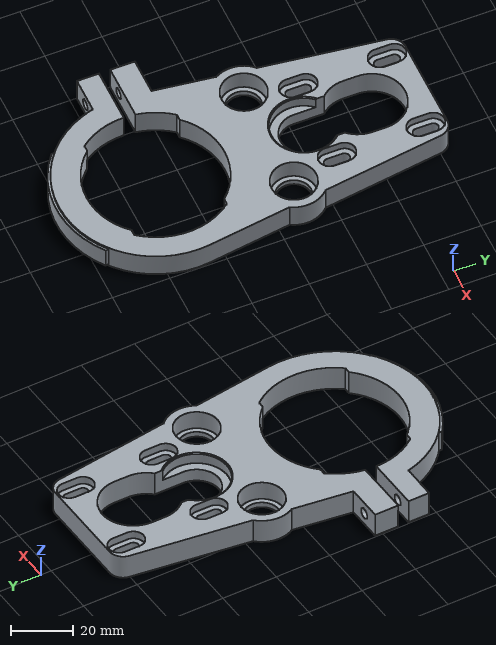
import cadquery as cq
import math

length = 129.1
thickness = 9.0
ring_radius = 33.7
top_edge_y = 94.5
top_half_width = 21.0
top_corner_radius = 5.0

bore_radius = 24.0
wide_bore_radius = 25.7
wide_bore_half_height = 16.1

tab_end_x = -45.6
tab_top_y = 12.7
tab_bottom_y = -7.6
slit_bottom_y = 0.1
slit_width = 3.9
tab_screw_diameter = 3.7
tab_screw_from_end = 6.7

ear_x = 20.0
ear_y = 39.5
ear_radius = 10.8
ear_hole_diameter = 12.0
ear_counterbore_diameter = 15.5
ear_counterbore_depth = 7.0

screw_pitch = 31.0
screw_pattern_y = 72.0
screw_slot_width = 3.6
screw_slot_length = 8.9
screw_recess_width = 7.6
screw_recess_length = 12.9
screw_recess_depth = 3.0

wide_slot_width = 23.0
wide_slot_top_y = 87.0
wide_slot_length = 28.0
narrow_slot_width = 16.4
narrow_slot_end_y = 51.8
keyhole_recess_radius = 11.2
keyhole_recess_chamfer = 0.4
keyhole_recess_depth = 4.3

label_radius = length - top_edge_y
label_half_width = 21.7
label_margin = 0.6


def upright_slot(width, slot_length, x, y, bottom, height):
    """Solid slot shape lying along Y and standing on z = bottom."""
    slot = cq.Workplane("XY", origin=(x, y, bottom)).slot2D(slot_length, width, 90)
    return slot.extrude(height)


def cylinder(radius, x, y, bottom, height):
    return cq.Workplane("XY", origin=(x, y, bottom)).circle(radius).extrude(height)


def box_between(x0, x1, y0, y1):
    """Full-thickness block between two opposite corners."""
    block = cq.Workplane("XY").box(x1 - x0, y1 - y0, thickness, centered=False)
    return block.translate((x0, y0, 0))


def tapered_plate():
    """Flanks run from the top corners and meet the ring tangentially."""
    corner_distance = math.hypot(top_half_width, top_edge_y)
    tangent_angle = math.atan2(top_edge_y, top_half_width) - math.acos(ring_radius / corner_distance)
    tangent_x = ring_radius * math.cos(tangent_angle)
    tangent_y = ring_radius * math.sin(tangent_angle)
    plate = (
        cq.Workplane("XY")
        .moveTo(-top_half_width, top_edge_y)
        .lineTo(top_half_width, top_edge_y)
        .lineTo(tangent_x, tangent_y)
        .threePointArc((0, -ring_radius), (-tangent_x, tangent_y))
        .close()
        .extrude(thickness)
    )
    return plate.edges("|Z and >Y").fillet(top_corner_radius)


def label_panel():
    height = thickness - 2 * label_margin
    panel = cylinder(label_radius, 0, 0, label_margin, height)
    span = box_between(-label_half_width, label_half_width, -label_radius, -bore_radius)
    return panel.intersect(span).cut(cylinder(bore_radius, 0, 0, 0, thickness))


def clamp_bore():
    band = box_between(
        -wide_bore_radius, wide_bore_radius, -wide_bore_half_height, wide_bore_half_height
    )
    wide_bore = cylinder(wide_bore_radius, 0, 0, 0, thickness).intersect(band)
    return cylinder(bore_radius, 0, 0, 0, thickness).union(wide_bore)


def tab_screw_hole():
    hole = cq.Workplane("XZ", origin=(tab_end_x + tab_screw_from_end, tab_top_y, thickness / 2))
    return hole.circle(tab_screw_diameter / 2).extrude(tab_top_y - tab_bottom_y)


def ear_holes():
    holes = cq.Workplane("XY")
    counterbore_floor = thickness - ear_counterbore_depth
    for x in (-ear_x, ear_x):
        holes = holes.add(cylinder(ear_hole_diameter / 2, x, ear_y, 0, thickness))
        holes = holes.add(
            cylinder(ear_counterbore_diameter / 2, x, ear_y, counterbore_floor, ear_counterbore_depth)
        )
    return holes.combine()


def screw_slots():
    slots = cq.Workplane("XY")
    recess_floor = thickness - screw_recess_depth
    for x in (-screw_pitch / 2, screw_pitch / 2):
        for y in (screw_pattern_y - screw_pitch / 2, screw_pattern_y + screw_pitch / 2):
            slots = slots.add(upright_slot(screw_slot_width, screw_slot_length, x, y, 0, thickness))
            slots = slots.add(
                upright_slot(
                    screw_recess_width, screw_recess_length, x, y, recess_floor, screw_recess_depth
                )
            )
    return slots.combine()


def keyhole():
    wide_slot_y = wide_slot_top_y - wide_slot_length / 2
    narrow_bottom_y = narrow_slot_end_y - narrow_slot_width / 2
    narrow_length = wide_slot_y - narrow_bottom_y
    narrow_y = narrow_bottom_y + narrow_length / 2
    recess_floor = thickness - keyhole_recess_depth
    wide_slot = upright_slot(wide_slot_width, wide_slot_length, 0, wide_slot_y, 0, thickness)
    narrow_slot = upright_slot(narrow_slot_width, narrow_length, 0, narrow_y, 0, thickness)
    recess = cylinder(
        keyhole_recess_radius, 0, narrow_slot_end_y, recess_floor, keyhole_recess_depth
    )
    rim_plane = cq.Workplane("XY", origin=(0, narrow_slot_end_y, thickness - keyhole_recess_chamfer))
    rim = (
        rim_plane.circle(keyhole_recess_radius)
        .workplane(offset=keyhole_recess_chamfer)
        .circle(keyhole_recess_radius + keyhole_recess_chamfer)
        .loft()
    )
    return wide_slot.union(narrow_slot).union(recess).union(rim)


body = tapered_plate()
for side in (-1, 1):
    body = body.union(cylinder(ear_radius, side * ear_x, ear_y, 0, thickness))
body = body.union(box_between(tab_end_x, -wide_bore_radius, tab_bottom_y, tab_top_y))
body = body.union(label_panel())

body = body.cut(clamp_bore())
body = body.cut(box_between(tab_end_x, 0, slit_bottom_y, slit_bottom_y + slit_width))
body = body.cut(tab_screw_hole())
body = body.cut(ear_holes())
body = body.cut(screw_slots())
body = body.cut(keyhole())

result = body